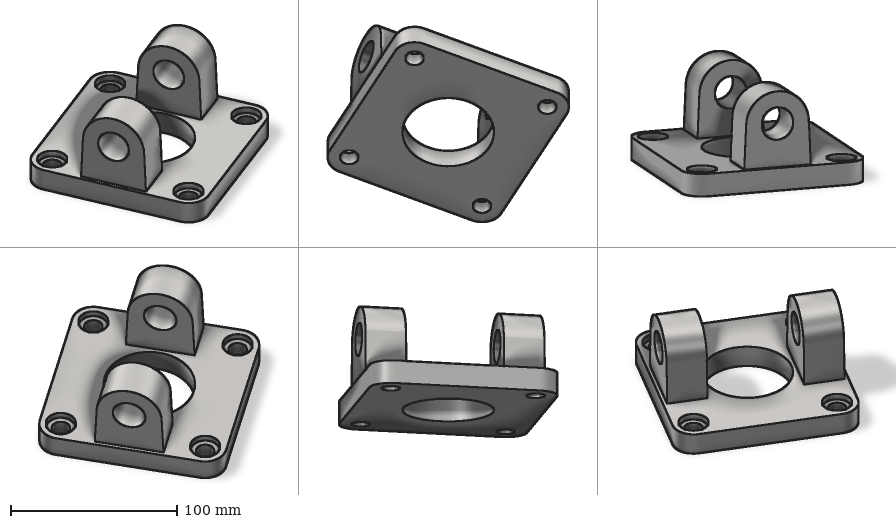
import cadquery as cq
import math

plate_side = 115.0
plate_thickness = 14.0
corner_radius = 13.0
bore_diameter = 55.0

hole_spacing = 89.0
hole_diameter = 11.0
counterbore_diameter = 18.0
counterbore_depth = 4.0

total_height = 61.0
lug_radius = 20.0
lug_outer_span = 110.0
lug_gap = 60.0
flank_angle = math.radians(2.5)
pin_diameter = 20.0
pin_height = total_height - lug_radius


def make_plate():
    """Rounded square plate with a central bore and four counterbored holes."""
    plate = cq.Workplane("XY").rect(plate_side, plate_side).extrude(plate_thickness)
    plate = plate.edges("|Z").fillet(corner_radius)
    plate = plate.faces(">Z").workplane().hole(bore_diameter)
    return (
        plate.faces(">Z")
        .workplane()
        .rect(hole_spacing, hole_spacing, forConstruction=True)
        .vertices()
        .cboreHole(hole_diameter, counterbore_diameter, counterbore_depth)
    )


def make_lug_pair():
    """Lugs with a round top, tangent flaring flanks and a shared pin hole."""
    tangent_x = lug_radius * math.cos(flank_angle)
    tangent_z = pin_height + lug_radius * math.sin(flank_angle)
    foot_x = tangent_x + (tangent_z - plate_thickness) * math.tan(flank_angle)
    block = (
        cq.Workplane("XZ")
        .moveTo(-foot_x, plate_thickness)
        .lineTo(foot_x, plate_thickness)
        .lineTo(tangent_x, tangent_z)
        .threePointArc((0, total_height), (-tangent_x, tangent_z))
        .close()
        .extrude(lug_outer_span / 2, both=True)
    )
    gap = cq.Workplane("XY").box(plate_side, lug_gap, 2 * total_height)
    pin_hole = (
        cq.Workplane("XZ")
        .center(0, pin_height)
        .circle(pin_diameter / 2)
        .extrude(lug_outer_span / 2, both=True)
    )
    return block.cut(gap).cut(pin_hole)


result = make_plate().union(make_lug_pair())